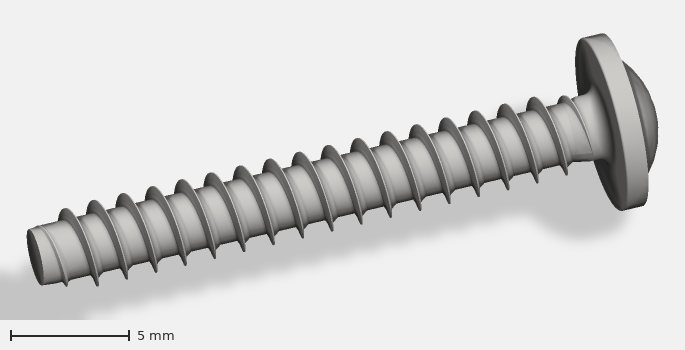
import cadquery as cq
import math


collar_radius = 3.75
collar_thickness = 0.95
collar_edge_radius = 0.08
dome_radius_at_collar = 2.96
dome_height = 1.42
slot_width = 0.55
slot_depth = 0.30

shank_length = 24.98
neck_radius = 1.40
neck_fillet = 0.46
neck_end = 0.81
neck_taper_length = 0.70
core_radius = 1.27
tip_radius = 1.22
tip_taper_length = 0.60

pitch = 1.295
crest_radius = 1.80
flare_radius = 1.45
root_burial = 0.08
root_radius = core_radius - root_burial
crest_half_width = 0.025
flare_half_width = 0.11
root_reach_to_head = 0.49
root_reach_to_tip = 0.22
faded_height = 0.04
lead_in_turns = 1.5
full_turns = 16
extra_full_turn = 0.25
run_out_turns = 1.25
full_thread_start = 2.07
thread_start = full_thread_start - lead_in_turns * pitch


def make_body():
    """Revolve the dome, collar, neck and core as one profile (radius, height)."""
    dome_base = -collar_thickness
    dome_top = dome_base - dome_height
    sphere_radius = (dome_radius_at_collar**2 + dome_height**2) / (2 * dome_height)
    half_angle = math.asin(dome_radius_at_collar / sphere_radius) / 2
    dome_mid = (
        sphere_radius * math.sin(half_angle),
        dome_top + sphere_radius * (1 - math.cos(half_angle)),
    )
    fillet_reach = neck_fillet * (1 - math.sqrt(0.5))
    profile = (
        cq.Workplane("XZ")
        .moveTo(0, dome_top)
        .threePointArc(dome_mid, (dome_radius_at_collar, dome_base))
        .lineTo(collar_radius, dome_base)
        .lineTo(collar_radius, -collar_edge_radius)
        .radiusArc((collar_radius - collar_edge_radius, 0), -collar_edge_radius)
        .lineTo(neck_radius + neck_fillet, 0)
        .threePointArc(
            (neck_radius + fillet_reach, fillet_reach),
            (neck_radius, neck_fillet),
        )
        .lineTo(neck_radius, neck_end)
        .lineTo(core_radius, neck_end + neck_taper_length)
        .lineTo(core_radius, shank_length - tip_taper_length)
        .lineTo(tip_radius, shank_length)
        .lineTo(0, shank_length)
        .close()
    )
    return profile.revolve(360, (0, 0, 0), (0, 1, 0))


def cut_cross_slots(body):
    """Cut two crossed slots with a flat floor through the crown of the dome."""
    dome_top = -collar_thickness - dome_height
    slot_length = 2 * dome_radius_at_collar
    for length_x, length_y in ((slot_length, slot_width), (slot_width, slot_length)):
        slot = cq.Workplane("XY", origin=(0, 0, dome_top)).rect(length_x, length_y).extrude(slot_depth)
        body = body.cut(slot)
    return body


def helix_edge(start_radius, end_radius, start_height, start_turn, turns):
    """Right-hand helix whose radius changes evenly from start to end."""
    rise = turns * pitch
    half_angle = math.atan2(end_radius - start_radius, rise)
    slant = 1 / math.cos(half_angle)
    if start_radius == end_radius:
        helix = cq.Wire.makeHelix(pitch, rise, start_radius)
    else:
        helix = cq.Wire.makeHelix(pitch * slant, rise * slant, start_radius, angle=math.degrees(half_angle))
    helix = helix.rotate(cq.Vector(0, 0, 0), cq.Vector(0, 0, 1), 360 * start_turn)
    return helix.translate(cq.Vector(0, 0, start_height)).Edges()[0]


def section(scale):
    """Thread section (radius, axial offset); scale 1 is full height and 0 is flat."""
    flare = root_radius + scale * (flare_radius - root_radius)
    crest = root_radius + scale * (crest_radius - root_radius)
    return (
        (root_radius, -root_reach_to_head),
        (flare, -flare_half_width),
        (crest, -crest_half_width),
        (crest, crest_half_width),
        (flare, flare_half_width),
        (root_radius, root_reach_to_tip),
    )


def end_cap(scale, turn):
    """Planar face closing the thread after the given number of turns."""
    points = [cq.Vector(radius, 0, thread_start + turn * pitch + offset) for radius, offset in section(scale)]
    wire = cq.Wire.makePolygon(points, close=True)
    return cq.Face.makeFromWires(wire).rotate(cq.Vector(0, 0, 0), cq.Vector(0, 0, 1), 360 * turn)


def make_thread():
    """Join lead-in, full thread and run-out into one solid."""
    faded = faded_height / (crest_radius - root_radius)
    stretches = (
        [(lead_in_turns, faded, 1)]
        + [(1, 1, 1)] * full_turns
        + [(extra_full_turn, 1, 1)]
        + [(run_out_turns, 1, faded)]
    )
    faces = [end_cap(faded, 0)]
    turn = 0
    for turns, start_scale, end_scale in stretches:
        edges = [
            helix_edge(start[0], end[0], thread_start + turn * pitch + start[1], turn, turns)
            for start, end in zip(section(start_scale), section(end_scale))
        ]
        for edge, next_edge in zip(edges, edges[1:] + edges[:1]):
            faces.append(cq.Face.makeRuledSurface(edge, next_edge))
        turn += turns
    faces.append(end_cap(faded, turn))
    thread = cq.Solid.makeSolid(cq.Shell.makeShell(faces))
    return thread.rotate(cq.Vector(0, 0, 0), cq.Vector(0, 0, 1), -360 * lead_in_turns)


screw = cut_cross_slots(make_body()).union(cq.Workplane(obj=make_thread()))
result = screw.solids().rotate((0, 0, 0), (1, 0, 0), 90)